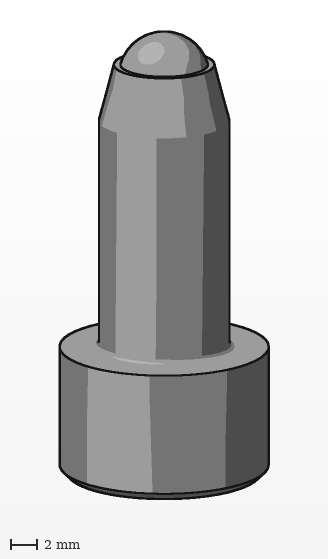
import cadquery as cq
import math

head_radius = 16.0 / 2
head_height = 10.0
head_chamfer = 0.6

shank_radius = 10.0 / 2
shank_top = 28.0
root_fillet = 0.4

taper_height = 4.45
taper_top = shank_top + taper_height
taper_top_radius = 3.85

nose_radius = 3.5
nose_sink = 1.0
nose_center = taper_top - nose_sink
total_height = nose_center + nose_radius
nose_rim_radius = math.sqrt(nose_radius**2 - nose_sink**2)
nose_mid_offset = nose_radius * math.sin(math.radians(45))

fillet_center_radius = shank_radius + root_fillet
fillet_center_height = head_height + root_fillet
fillet_mid_offset = root_fillet * math.sin(math.radians(45))


def half_profile():
    """Closed outline of one half of the pin; local x is radius, local y is height."""
    return (
        cq.Workplane("XZ")
        .moveTo(0, 0)
        .lineTo(head_radius - head_chamfer, 0)
        .lineTo(head_radius, head_chamfer)
        .lineTo(head_radius, head_height)
        .lineTo(fillet_center_radius, head_height)
        .threePointArc(
            (fillet_center_radius - fillet_mid_offset, fillet_center_height - fillet_mid_offset),
            (shank_radius, fillet_center_height),
        )
        .lineTo(shank_radius, shank_top)
        .lineTo(taper_top_radius, taper_top)
        .lineTo(nose_rim_radius, taper_top)
        .threePointArc(
            (nose_mid_offset, nose_center + nose_mid_offset),
            (0, total_height),
        )
        .close()
    )


result = half_profile().revolve(360, (0, 0, 0), (0, 1, 0))